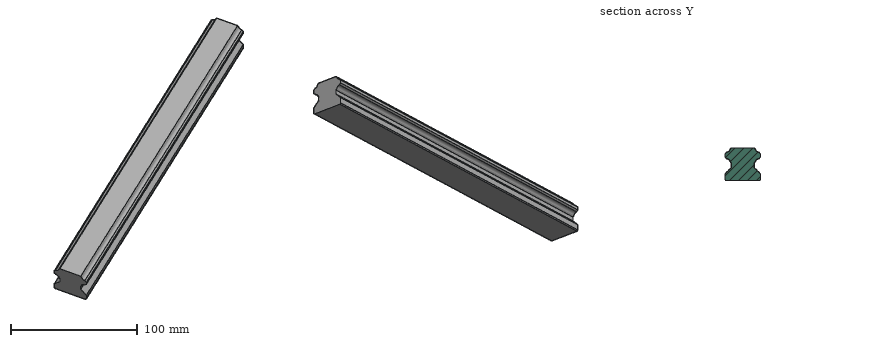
import cadquery as cq

length = 290.0
base_width = 28.0
height = 26.0

base_chamfer = 1.0
base_side_top = 5.5
web_bottom = 10.5

lip_mid_height = 20.0
lip_side_rise = 1.3
lip_shoulder_rise = 2.5
ball_track_rise = 5.0
ball_track_radius = 3.2
web_top = 2 * lip_mid_height - height

lip_shoulder_width = 25.5
ball_track_inner_width = 20.0
web_width = 18.3

cap_diameter = 14.0
cap_thickness = 3.0
cap_count = 4
cap_pitch = 80.0


def half_rail():
    """Right-hand half of the rail, running along Y."""
    half_base = base_width / 2
    half_shoulder = lip_shoulder_width / 2
    half_track = ball_track_inner_width / 2
    half_web = web_width / 2
    return (
        cq.Workplane("XZ", origin=(0, length / 2, 0))
        .lineTo(half_base - base_chamfer, 0)
        .lineTo(half_base, base_chamfer)
        .lineTo(half_base, base_side_top)
        .lineTo(half_web, web_bottom)
        .lineTo(half_web, web_top)
        .lineTo(half_track, lip_mid_height - ball_track_rise)
        .radiusArc((half_shoulder, lip_mid_height - lip_shoulder_rise), ball_track_radius)
        .lineTo(half_base, lip_mid_height - lip_side_rise)
        .lineTo(half_base, lip_mid_height + lip_side_rise)
        .lineTo(half_shoulder, lip_mid_height + lip_shoulder_rise)
        .radiusArc((half_track, lip_mid_height + ball_track_rise), ball_track_radius)
        .lineTo(half_web, height)
        .lineTo(0, height)
        .close()
        .extrude(length)
    )


def hole_caps():
    """Row of round caps whose tops lie level with the top of the rail."""
    return (
        cq.Workplane("XY", origin=(0, 0, height - cap_thickness))
        .rarray(3, cap_pitch, 1, cap_count)
        .circle(cap_diameter / 2)
        .extrude(cap_thickness)
    )


right_half = half_rail()
rail = right_half.union(right_half.mirror("YZ")).clean()

caps = hole_caps()
result = rail.cut(caps).union(caps, clean=False)